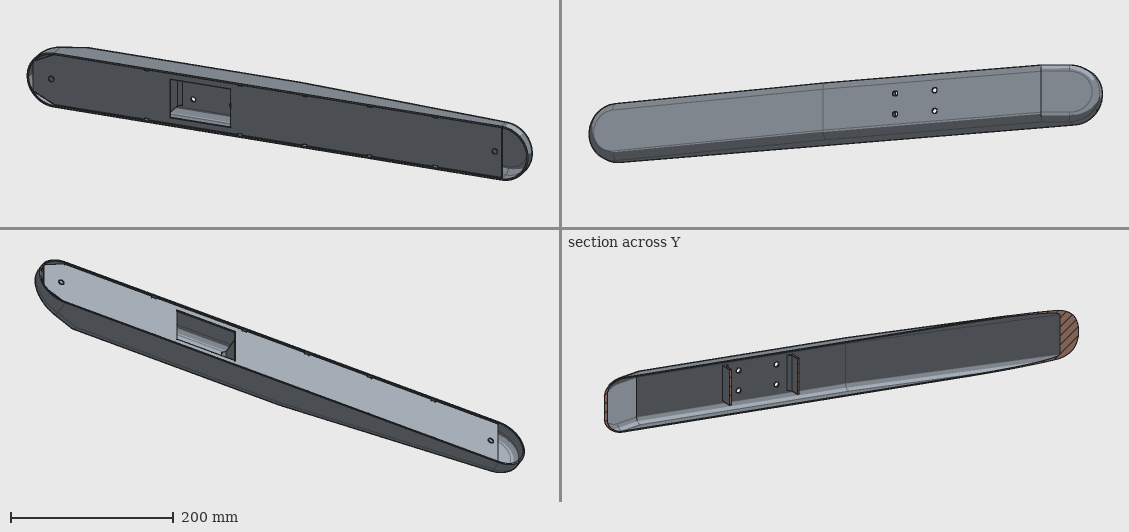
import cadquery as cq

length = 670.0
depth = 41.4
width = 71.4
wall = 2.0
outer_edge_radius = 10.0

left_slope_start = -270.0
right_slope_start = 16.5
left_end_depth = 16.5
right_end_depth = 20.5

plate_recess = 1.5
plate_thickness = 2.0
plate_side_margin = 2.5
plate_half_width = width / 2 - plate_side_margin
plate_left = -328.0
plate_left_half_width = 19.5
plate_shoulder = -(length - width) / 2
plate_right = 299.0

screw_hole_diameter = 7.0
screw_hole_depth = 1.0
screw_hole_positions = [-303.7, 289.7]

notch_width = 6.0
notch_depth = 1.5
notch_positions = [-176.0, -51.0, 35.5, 122.0, 210.0]

bay_center = -104.0
window_length = 81.0
window_height = 51.0
bay_length = 90.0
bulkhead_thickness = 3.0
gusset_size = 4.5
bulkhead_height = 46.0
mount_hole_diameter = 6.5
mount_hole_spacing_x = 52.0
mount_hole_spacing_z = 26.0


def front_plane(y):
    """Workplane parallel to XZ at the given y, drawing in (x, z), extruding towards +Y."""
    return cq.Workplane(cq.Plane(origin=(0, y, 0), xDir=(1, 0, 0), normal=(0, -1, 0)))


def is_back_rim(edge):
    """True for edges outlining the back, not those on the front, along y or crossing the back."""
    tolerance = 0.1
    box = edge.BoundingBox()
    on_front = box.ymax < tolerance
    along_y = box.xlen < tolerance and box.zlen < tolerance
    across_back = box.xlen < tolerance and box.zlen > tolerance
    return not (on_front or along_y or across_back)


def housing(inset):
    """Round-ended body with rounded back edges, shrunk by inset on the sides and back."""
    outline = front_plane(0).slot2D(length - 2 * inset, width - 2 * inset).extrude(-depth)
    half_length = length / 2
    profile = (
        cq.Workplane("XY")
        .moveTo(-half_length, 0)
        .lineTo(half_length, 0)
        .lineTo(half_length, right_end_depth - inset)
        .lineTo(right_slope_start, depth - inset)
        .lineTo(left_slope_start, depth - inset)
        .lineTo(-half_length, left_end_depth - inset)
        .close()
        .extrude(width / 2, both=True)
    )
    body = outline.intersect(profile)
    back_edges = [edge for edge in body.edges().vals() if is_back_rim(edge)]
    return body.newObject(back_edges).fillet(outer_edge_radius - inset)


def plate_prism(y, height):
    """Plate outline extruded from y towards the back by the given height."""
    return (
        front_plane(y)
        .polyline([
            (plate_left, -plate_left_half_width),
            (plate_shoulder, -plate_half_width),
            (plate_right, -plate_half_width),
            (plate_right, plate_half_width),
            (plate_shoulder, plate_half_width),
            (plate_left, plate_left_half_width),
        ])
        .close()
        .extrude(-height)
    )


def cover_plate():
    """Plate with a narrowed left end, edge notches, blind screw holes and the window."""
    plate = plate_prism(plate_recess, plate_thickness)
    notches = (
        front_plane(plate_recess)
        .pushPoints([(x, side * plate_half_width) for x in notch_positions for side in (-1, 1)])
        .rect(notch_width, 2 * notch_depth)
        .extrude(-plate_thickness)
    )
    screw_holes = (
        front_plane(plate_recess)
        .pushPoints([(x, 0) for x in screw_hole_positions])
        .circle(screw_hole_diameter / 2)
        .extrude(-screw_hole_depth)
    )
    window = (
        front_plane(plate_recess)
        .center(bay_center, 0)
        .rect(window_length, window_height)
        .extrude(-plate_thickness)
    )
    return plate.cut(notches).cut(screw_holes).cut(window)


def bulkhead(side, cavity):
    """Wall closing the bay on one side, with a 45 degree gusset against the back."""
    inner = bay_center + side * bay_length / 2
    outer = inner + side * bulkhead_thickness
    floor = depth - wall
    section = (
        cq.Workplane("XY")
        .polyline([
            (inner, plate_recess),
            (outer, plate_recess),
            (outer, floor),
            (inner - side * gusset_size, floor),
            (inner, floor - gusset_size),
        ])
        .close()
        .extrude(bulkhead_height / 2, both=True)
    )
    return section.intersect(cavity)


def mount_holes():
    """Four holes through the back wall of the bay."""
    return (
        front_plane(depth / 2)
        .center(bay_center, 0)
        .rect(mount_hole_spacing_x, mount_hole_spacing_z, forConstruction=True)
        .vertices()
        .circle(mount_hole_diameter / 2)
        .extrude(-depth)
    )


cavity = housing(wall)
result = housing(0).cut(cavity)

result = result.cut(plate_prism(0, plate_recess))
result = result.union(cover_plate())
for side in (-1, 1):
    result = result.union(bulkhead(side, cavity))
result = result.cut(mount_holes())